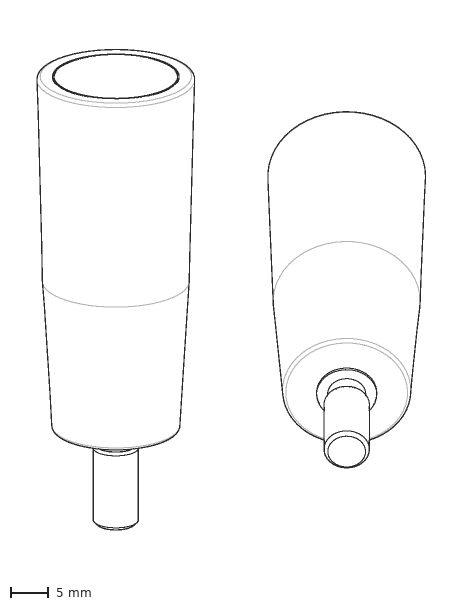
import cadquery as cq

total_height = 63.4
tip_chamfer = 0.5
thread_top = 11.1
thread_top_chamfer = 0.4
collar_bottom = 13.1
grip_bottom = 13.5
taper_change = 34.35
shank_top = taper_change

grip_top_dia = 21.0
grip_middle_dia = 19.5
grip_bottom_dia = 17.0
edge_radius = 0.45

groove_outer_dia = 16.8
groove_inner_dia = 16.4
groove_depth = 0.2

thread_dia = 6.0
neck_dia = 5.1
collar_dia = 8.0


def cylinder(diameter, bottom, top):
    """Cylinder on the Z axis between two heights."""
    return cq.Workplane("XY").workplane(offset=bottom).circle(diameter / 2).extrude(top - bottom)


def make_grip():
    """Two-taper grip with rounded ends, a ring groove on top and a blind hole for the spindle."""
    body = (
        cq.Workplane("XZ")
        .moveTo(0, grip_bottom)
        .lineTo(grip_bottom_dia / 2, grip_bottom)
        .lineTo(grip_middle_dia / 2, taper_change)
        .lineTo(grip_top_dia / 2, total_height)
        .lineTo(0, total_height)
        .close()
        .revolve(360, (0, 0, 0), (0, 1, 0))
        .faces("<Z or >Z")
        .edges()
        .fillet(edge_radius)
    )
    groove = (
        cq.Workplane("XY")
        .workplane(offset=total_height - groove_depth)
        .circle(groove_outer_dia / 2)
        .circle(groove_inner_dia / 2)
        .extrude(groove_depth)
    )
    spindle_hole = cylinder(neck_dia, grip_bottom, shank_top)
    return body.cut(groove).cut(spindle_hole)


def make_spindle():
    """Threaded end, modelled as a plain cylinder, with a neck, a collar and a shank inside the grip."""
    thread = (
        cylinder(thread_dia, 0, thread_top)
        .faces("<Z").chamfer(tip_chamfer)
        .faces(">Z").chamfer(thread_top_chamfer)
    )
    neck_and_shank = cylinder(neck_dia, thread_top, shank_top)
    collar = cylinder(collar_dia, collar_bottom, grip_bottom)
    return thread.union(neck_and_shank).union(collar)


grip = make_grip()
spindle = make_spindle()

result = cq.Compound.makeCompound([grip.val(), spindle.val()])